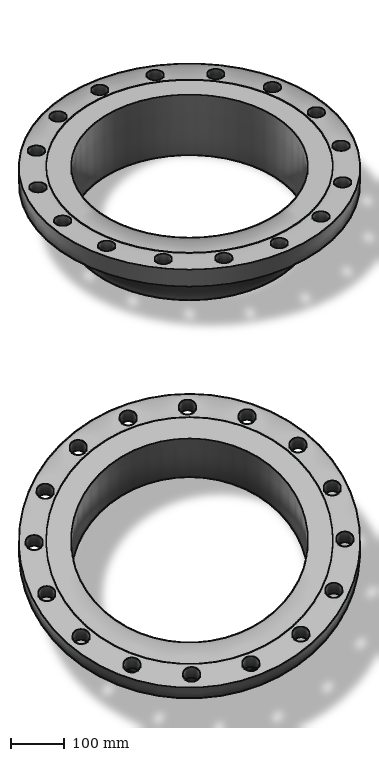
import cadquery as cq

flange_diameter = 635.0
total_height = 141.5
bore_diameter = 441.0

face_diameter = 533.5
face_height = 1.0
plate_thickness = 40.5

hub_top_diameter = 503.0
weld_end_diameter = 460.0
weld_end_height = 12.0
weld_end_chamfer = 3.0
hub_fillet = 13.0
root_tolerance = 0.5

bolt_count = 16
bolt_circle_diameter = 578.0
bolt_hole_diameter = 32.5

plate_bottom = total_height - plate_thickness
plate_top = total_height - face_height


def flange_body():
    """Revolve the ring section about Z, then fillet the hub root."""
    bore_radius = bore_diameter / 2
    weld_end_radius = weld_end_diameter / 2
    section = (
        cq.Workplane("XZ")
        .moveTo(bore_radius, 0)
        .lineTo(weld_end_radius - weld_end_chamfer, 0)
        .lineTo(weld_end_radius, weld_end_chamfer)
        .lineTo(weld_end_radius, weld_end_height)
        .lineTo(hub_top_diameter / 2, plate_bottom)
        .lineTo(flange_diameter / 2, plate_bottom)
        .lineTo(flange_diameter / 2, plate_top)
        .lineTo(face_diameter / 2, plate_top)
        .lineTo(face_diameter / 2, total_height)
        .lineTo(bore_radius, total_height)
        .close()
    )
    body = section.revolve(360, (0, 0, 0), (0, 1, 0))
    in_root_plane = cq.selectors.BoxSelector(
        (-face_diameter / 2, -face_diameter / 2, plate_bottom - root_tolerance),
        (face_diameter / 2, face_diameter / 2, plate_bottom + root_tolerance),
    )
    hub_root = body.edges("%CIRCLE").edges(in_root_plane).edges(cq.selectors.RadiusNthSelector(0))
    return hub_root.fillet(hub_fillet)


def bolt_holes():
    """Cutters for the bolt holes, the first one on +X."""
    return (
        cq.Workplane("XY")
        .workplane(offset=plate_bottom)
        .polarArray(bolt_circle_diameter / 2, 0, 360, bolt_count)
        .circle(bolt_hole_diameter / 2)
        .extrude(plate_thickness)
    )


result = flange_body().cut(bolt_holes())